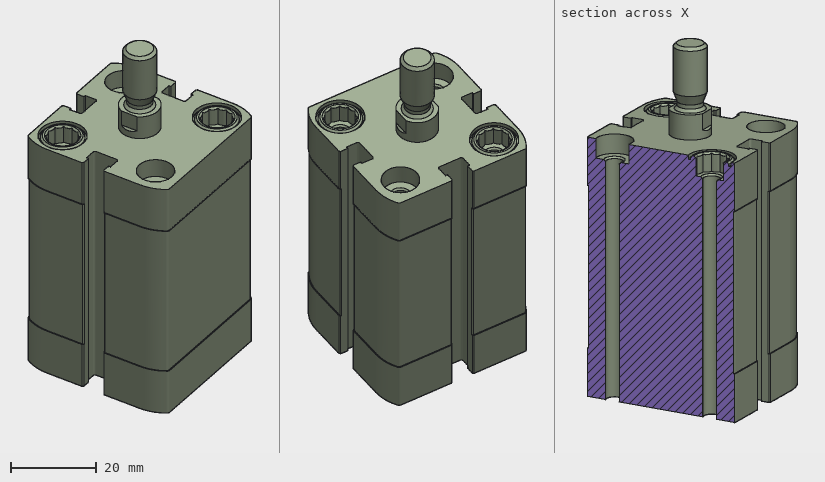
import cadquery as cq
import math

width = 39.5
cap_height = 12.0
tube_height = 40.0
body_height = tube_height + 2 * cap_height
tube_inset = 0.25
hole_offset = 13.0
corner_arc_radius = 11.75
edge_rounding = 0.8

slot_opening = 5.6
slot_width = 6.7
slot_lip = 2.3
slot_depth = 5.6
slot_edge_chamfer = 0.3
slot_floor_rounding = 0.5

screw_hole_diameter = 4.13
screw_hole_chamfer_diameter = 5.0
bore_depth = 4.8
counterbore_diameter = 9.0

groove_outer_diameter = 11.5
collar_diameter = 10.5
groove_depth = 1.0
collar_chamfer = 0.5
socket_diameter = 7.5
socket_chamfer = 0.5
notch_count = 12
notch_tip_diameter = 8.0

rod_length = 22.3
collar_length = 6.2
rod_collar_diameter = 10.0
flats_width = 9.0
flats_length = 4.0
thread_diameter = 8.0
thread_length = 11.9
thread_chamfer = 0.75
neck_diameter = 6.2
neck_length = 1.0
flare_diameter = 7.5
flare_length = 0.8


def block(inset, height, z):
    """Square block with crowned corners, its sides moved inwards by inset."""
    half = width / 2 - inset
    drop = corner_arc_radius - math.sqrt(corner_arc_radius**2 - (half - hole_offset) ** 2)
    side = half - drop
    mid_angle = math.asin((half - hole_offset) / corner_arc_radius) / 2
    mid_x = hole_offset + corner_arc_radius * math.sin(mid_angle)
    mid_y = half - corner_arc_radius * (1 - math.cos(mid_angle))
    return (
        cq.Workplane("XY", origin=(0, 0, z))
        .moveTo(-hole_offset, half)
        .lineTo(hole_offset, half)
        .threePointArc((mid_x, mid_y), (half, side))
        .lineTo(half, -side)
        .threePointArc((mid_x, -mid_y), (hole_offset, -half))
        .lineTo(-hole_offset, -half)
        .threePointArc((-mid_x, -mid_y), (-half, -side))
        .lineTo(-half, side)
        .threePointArc((-mid_x, mid_y), (-hole_offset, half))
        .close()
        .extrude(height)
        .edges("|Z and (>X or <X)")
        .fillet(edge_rounding)
    )


def t_slot(inset, height, z):
    """T-slot cutter for the -Y face of a block with the given inset."""
    face = -width / 2 + inset
    lip = -width / 2 + slot_lip
    floor = -width / 2 + slot_depth
    half_opening = slot_opening / 2
    half_width = slot_width / 2
    half_mouth = half_opening + slot_edge_chamfer
    return (
        cq.Workplane("XY", origin=(0, 0, z))
        .polyline([
            (-half_mouth, face),
            (-half_opening, face + slot_edge_chamfer),
            (-half_opening, lip),
            (-half_width, lip),
            (-half_width, floor),
            (half_width, floor),
            (half_width, lip),
            (half_opening, lip),
            (half_opening, face + slot_edge_chamfer),
            (half_mouth, face),
        ])
        .close()
        .extrude(height)
        .edges("|Z and >Y")
        .fillet(slot_floor_rounding)
    )


def slotted_block(inset, height, z):
    section = block(inset, height, z)
    cutter = t_slot(inset, height, z)
    for angle in (0, -90, 180):
        section = section.cut(cutter.rotate((0, 0, 0), (0, 0, 1), angle))
    return section


def cylinder(diameter, height, z):
    return cq.Workplane("XY", origin=(0, 0, z)).circle(diameter / 2).extrude(height)


def countersink(top_diameter, bottom_diameter, z):
    """45 degree cone cutter that is widest at height z."""
    depth = (top_diameter - bottom_diameter) / 2
    solid = cq.Solid.makeCone(bottom_diameter / 2, top_diameter / 2, depth, cq.Vector(0, 0, z - depth))
    return cq.Workplane(obj=solid)


def screw_hole():
    hole = cylinder(screw_hole_diameter, body_height, 0)
    return hole.union(countersink(screw_hole_chamfer_diameter, screw_hole_diameter, body_height - bore_depth))


def counterbored_hole():
    return screw_hole().union(cylinder(counterbore_diameter, bore_depth, body_height - bore_depth))


def splined_bore():
    """Bore with V notches every 30 degrees; lands and notches are equally wide."""
    pitch = 2 * math.pi / notch_count
    points = []
    for i in range(notch_count):
        tip = i * pitch
        for radius, angle in (
            (socket_diameter / 2, tip - pitch / 4),
            (notch_tip_diameter / 2, tip),
            (socket_diameter / 2, tip + pitch / 4),
        ):
            points.append((radius * math.cos(angle), radius * math.sin(angle)))
    floor = body_height - bore_depth
    return cq.Workplane("XY", origin=(0, 0, floor)).polyline(points).close().extrude(bore_depth)


def socket_hole():
    groove_floor = body_height - groove_depth
    collar = cylinder(collar_diameter, groove_depth, groove_floor).faces(">Z").chamfer(collar_chamfer)
    groove = cylinder(groove_outer_diameter, groove_depth, groove_floor).cut(collar)
    mouth = countersink(socket_diameter + 2 * socket_chamfer, socket_diameter, body_height)
    return screw_hole().union(splined_bore()).union(mouth).union(groove)


def make_housing():
    housing = slotted_block(0, cap_height, 0)
    housing = housing.union(slotted_block(tube_inset, tube_height, cap_height))
    housing = housing.union(slotted_block(0, cap_height, cap_height + tube_height))
    for side in (-1, 1):
        housing = housing.cut(counterbored_hole().translate((side * hole_offset, -side * hole_offset, 0)))
        housing = housing.cut(socket_hole().translate((side * hole_offset, side * hole_offset, 0)))
    return housing


def rod_flat():
    """Cutter for the wrench flat on the -Y side, with a 45 degree run-out at its lower end."""
    inner = -flats_width / 2
    outer = -rod_collar_diameter / 2
    top = body_height + collar_length
    bottom = top - flats_length
    return (
        cq.Workplane("YZ")
        .polyline([(inner, top), (inner, bottom), (outer, bottom - (inner - outer)), (outer, top)])
        .close()
        .extrude(rod_collar_diameter / 2, both=True)
    )


def make_rod():
    collar_top = body_height + collar_length
    neck_bottom = collar_top + flare_length
    rod_top = body_height + rod_length
    rod = (
        cq.Workplane("XZ")
        .moveTo(0, body_height)
        .lineTo(rod_collar_diameter / 2, body_height)
        .lineTo(rod_collar_diameter / 2, collar_top)
        .lineTo(flare_diameter / 2, collar_top)
        .lineTo(neck_diameter / 2, neck_bottom)
        .lineTo(neck_diameter / 2, neck_bottom + neck_length)
        .lineTo(thread_diameter / 2, rod_top - thread_length)
        .lineTo(thread_diameter / 2, rod_top - thread_chamfer)
        .lineTo(thread_diameter / 2 - thread_chamfer, rod_top)
        .lineTo(0, rod_top)
        .close()
        .revolve(360, (0, 0, 0), (0, 1, 0))
    )
    for angle in (0, 180):
        rod = rod.cut(rod_flat().rotate((0, 0, 0), (0, 0, 1), angle))
    return rod


housing = make_housing()
rod = make_rod()
result = cq.Compound.makeCompound([housing.val(), rod.val()])